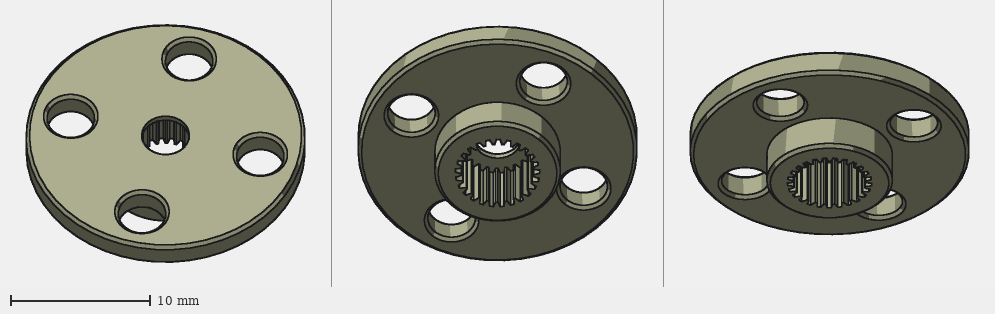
import cadquery as cq
import math


flange_diameter = 20.0
flange_thickness = 2.0
hub_diameter = 9.0
hub_height = 2.5
edge_chamfer = 0.25
total_height = hub_height + flange_thickness

hole_diameter = 3.4
bolt_circle_diameter = 14.0
hole_count = 4
first_hole_angle = math.radians(45)

tooth_count = 25
spline_root_diameter = 6.05
spline_tip_diameter = 5.2
tip_width = 0.15
root_width = 0.27
first_tip_angle = math.radians(90)
screw_seat_thickness = 0.5
socket_depth = total_height - screw_seat_thickness


def polar_point(radius, angle):
    return (radius * math.cos(angle), radius * math.sin(angle))


def make_body():
    """Flange with both rims chamfered, on a hub chamfered at its lower end."""
    flange = (
        cq.Workplane("XY", origin=(0, 0, hub_height))
        .circle(flange_diameter / 2)
        .extrude(flange_thickness)
        .edges()
        .chamfer(edge_chamfer)
    )
    hub = (
        cq.Workplane("XY")
        .circle(hub_diameter / 2)
        .extrude(hub_height)
        .faces("<Z")
        .edges()
        .chamfer(edge_chamfer)
    )
    return flange.union(hub)


def make_mounting_hole_cutter():
    """Through hole with a chamfered mouth on both flange faces."""
    radius = hole_diameter / 2
    mouth_radius = radius + edge_chamfer
    profile = [
        (0, hub_height),
        (mouth_radius, hub_height),
        (radius, hub_height + edge_chamfer),
        (radius, total_height - edge_chamfer),
        (mouth_radius, total_height),
        (0, total_height),
    ]
    return cq.Workplane("XZ").polyline(profile).close().revolve(360, (0, 0), (0, 1))


def cut_mounting_holes(body):
    cutter = make_mounting_hole_cutter()
    for index in range(hole_count):
        angle = first_hole_angle + index * 2 * math.pi / hole_count
        x, y = polar_point(bolt_circle_diameter / 2, angle)
        body = body.cut(cutter.translate((x, y, 0)))
    return body


def make_spline_cutter():
    """Socket with straight-flanked teeth: narrow tips inside, wide roots outside."""
    tip_radius = spline_tip_diameter / 2
    root_radius = spline_root_diameter / 2
    half_tip = tip_width / 2 / tip_radius
    half_root = root_width / 2 / root_radius
    pitch = 2 * math.pi / tooth_count
    outline = []
    for index in range(tooth_count):
        tip_angle = first_tip_angle + index * pitch
        root_angle = tip_angle + pitch / 2
        outline.append(polar_point(tip_radius, tip_angle - half_tip))
        outline.append(polar_point(tip_radius, tip_angle + half_tip))
        outline.append(polar_point(root_radius, root_angle - half_root))
        outline.append(polar_point(root_radius, root_angle + half_root))
    return cq.Workplane("XY").polyline(outline).close().extrude(socket_depth)


def make_screw_hole_cutter():
    return cq.Workplane("XY").circle(hole_diameter / 2).extrude(total_height)


result = cut_mounting_holes(make_body())
result = result.cut(make_spline_cutter()).cut(make_screw_hole_cutter())